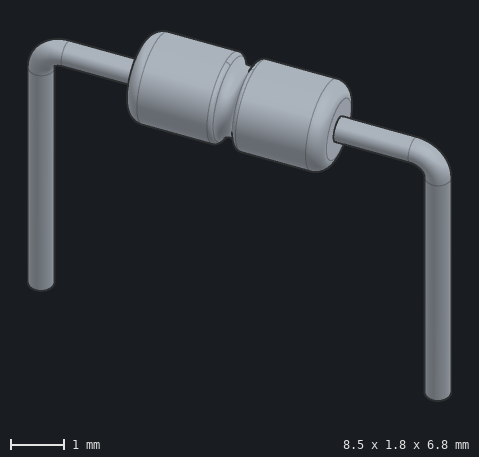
import cadquery as cq

span = 8.5
height = 6.8
body_diameter = 1.8

body_length = 3.995
end_round = 0.3
groove_radius = 0.2
groove_edge_round = 0.1

wire_diameter = 0.5
bend_radius = 0.5

body_radius = body_diameter / 2
axis_height = height - body_radius
lead_x = (span - wire_diameter) / 2
bend_start_x = lead_x - bend_radius
bend_end_z = axis_height - bend_radius


def make_body():
    """Cylinder along X with rounded ends and a rounded groove around its middle."""
    body = (
        cq.Workplane("YZ", origin=(-body_length / 2, 0, axis_height))
        .circle(body_radius)
        .extrude(body_length)
        .faces("<X or >X")
        .edges()
        .fillet(end_round)
    )
    groove_ring = cq.Solid.makeTorus(
        body_radius, groove_radius, cq.Vector(0, 0, axis_height), cq.Vector(1, 0, 0)
    )
    grooved = body.cut(cq.Workplane(groove_ring))
    reach = groove_radius + groove_edge_round
    around_groove = cq.selectors.BoxSelector((-reach, -span, -span), (reach, span, span))
    return grooved.edges(around_groove).edges("%CIRCLE").fillet(groove_edge_round)


def make_lead():
    """One round wire through the body, bent down at both ends."""
    path = (
        cq.Workplane("XZ")
        .moveTo(-lead_x, 0)
        .lineTo(-lead_x, bend_end_z)
        .tangentArcPoint((-bend_start_x, axis_height), relative=False)
        .lineTo(bend_start_x, axis_height)
        .tangentArcPoint((lead_x, bend_end_z), relative=False)
        .lineTo(lead_x, 0)
    )
    wire_section = cq.Workplane("XY", origin=(-lead_x, 0, 0)).circle(wire_diameter / 2)
    return wire_section.sweep(path)


result = make_body().union(make_lead())